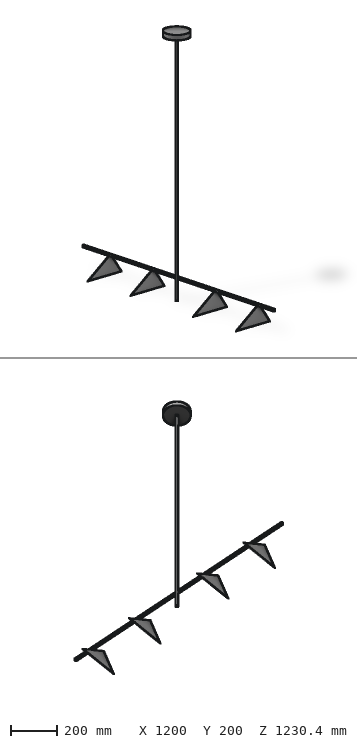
import cadquery as cq

canopy_radius = 60
canopy_height = 25

stem_radius = 6
stem_section_lengths = [400, 500, 300]

bar_length = 1200
bar_radius = 6
bar_y = stem_radius + bar_radius
bar_drop_below_canopy = 1100
bar_z = -(canopy_height + bar_drop_below_canopy)

overall_height = 1230.4
shade_thickness = 0.001
shade_width = 200
shade_height = 94.4
shade_bottom_z = -overall_height
shade_apex_offset = 35
inner_shade_x = 197
shade_spacing = 270


def make_pendant():
    """Canopy and stem in one piece, keeping the joint lines between the stem sections."""
    pendant = cq.Workplane("XY").circle(canopy_radius).extrude(-canopy_height)
    section_top = -canopy_height
    for length in stem_section_lengths:
        section = cq.Workplane("XY", origin=(0, 0, section_top)).circle(stem_radius).extrude(-length)
        pendant = pendant.union(section, clean=False)
        section_top -= length
    return pendant.solids()


def make_bar():
    """Round bar running along X, centred on the stem in X."""
    start = (-bar_length / 2, bar_y, bar_z)
    return cq.Workplane("YZ", origin=start).circle(bar_radius).extrude(bar_length)


def make_shade(x):
    """Triangle with a level bottom edge centred under the bar and its apex shifted towards +Y."""
    outline = [
        (-shade_width / 2, 0),
        (shade_width / 2, 0),
        (shade_apex_offset, shade_height),
    ]
    plane = cq.Workplane("YZ", origin=(x, bar_y, shade_bottom_z))
    return plane.polyline(outline).close().extrude(shade_thickness / 2, both=True)


pendant = make_pendant()
bar = make_bar()

outer_shade_x = inner_shade_x + shade_spacing
shade_positions = [-outer_shade_x, -inner_shade_x, inner_shade_x, outer_shade_x]
shades = [make_shade(x) for x in shade_positions]

result = cq.Compound.makeCompound([pendant.val(), bar.val(), *[shade.val() for shade in shades]])